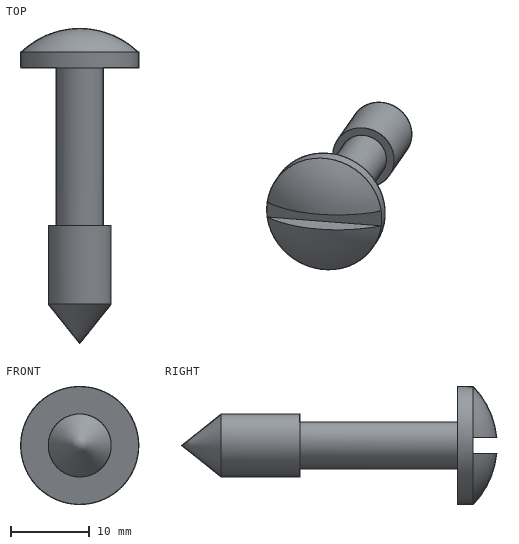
import cadquery as cq

total_length = 39.98
head_diameter = 15.0
rim_thickness = 2.0
shank_diameter = 6.0
shank_length = 20.0
collar_diameter = 8.0
collar_length = 10.0
tip_length = 5.0
slot_width = 2.0

collar_start = tip_length
collar_end = collar_start + collar_length
head_start = collar_end + shank_length
rim_end = head_start + rim_thickness

head_radius = head_diameter / 2
slot_edge_height = total_length - rim_end
slot_half_width = slot_width / 2
center_offset = (
    head_radius**2 - slot_half_width**2 - slot_edge_height**2
) / (2 * slot_edge_height)
dome_radius = (head_radius**2 + center_offset**2) ** 0.5
crown = rim_end - center_offset + dome_radius
dome_middle_x = head_radius / 2
dome_middle_y = rim_end - center_offset + (dome_radius**2 - dome_middle_x**2) ** 0.5


def make_body():
    """Revolve the half profile of tip, collar, shank and domed head."""
    return (
        cq.Workplane("XY")
        .moveTo(0, 0)
        .lineTo(collar_diameter / 2, collar_start)
        .lineTo(collar_diameter / 2, collar_end)
        .lineTo(shank_diameter / 2, collar_end)
        .lineTo(shank_diameter / 2, head_start)
        .lineTo(head_radius, head_start)
        .lineTo(head_radius, rim_end)
        .threePointArc((dome_middle_x, dome_middle_y), (0, crown))
        .close()
        .revolve(360, (0, 0, 0), (0, 1, 0))
    )


def make_slot():
    """Screwdriver slot along X, through the dome down to the rim."""
    return cq.Workplane("XY").box(
        head_diameter, crown - rim_end, slot_width, centered=(True, False, True)
    ).translate((0, rim_end, 0))


result = make_body().cut(make_slot())